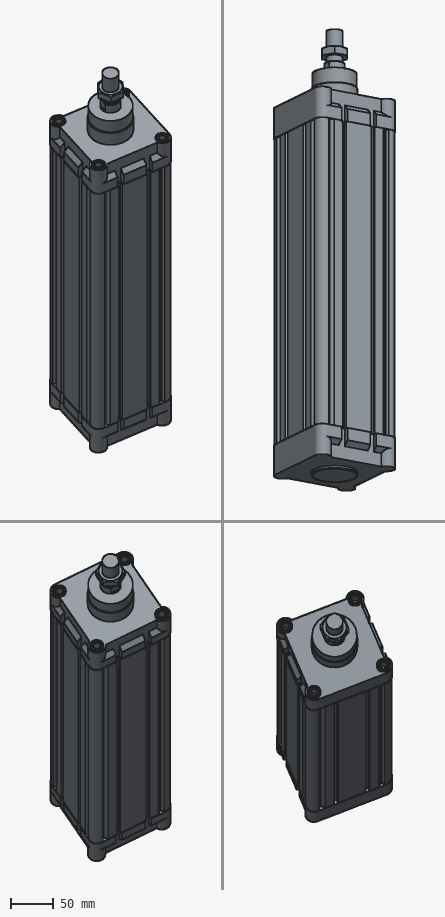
import cadquery as cq
import math

OVERALL_LENGTH = 553.0
SPIGOT_HEIGHT = 4.0
CAP_HEIGHT = 38.0
COLLAR_STEP_HEIGHT = 20.0
COLLAR_HEIGHT = 38.0
FRONT_CAP_TOP = 462.0
FRONT_CAP_BASE = FRONT_CAP_TOP - CAP_HEIGHT
BARREL_BASE = SPIGOT_HEIGHT + CAP_HEIGHT
COLLAR_TOP = FRONT_CAP_TOP + COLLAR_HEIGHT

CAP_WIDTH = 110.0
CAP_HALF = CAP_WIDTH / 2
COLUMN_RADIUS = 10.5
COLUMN_OFFSET = CAP_HALF - COLUMN_RADIUS
RECESS_DEPTH = 6.0
RECESS_HALF = CAP_HALF - RECESS_DEPTH

PAD_FACE_HEIGHT = 15.5
CAP_SLOT_INNER = 16.0
CAP_SLOT_OUTER = 24.5

SCREW_RECESS_DIAMETER = 16.0
SCREW_HEAD_DIAMETER = 15.0
SCREW_RECESS_DEPTH = 1.5
SCREW_SINK_DIAMETER = 12.0
SCREW_SINK_DEPTH = 0.5
SCREW_THREAD_DIAMETER = 8.5
SCREW_THREAD_DEPTH = 16.5

BARREL_CORNER_RADIUS = 10.0
BARREL_HALF = COLUMN_OFFSET + BARREL_CORNER_RADIUS
BARREL_SLOT_INNER = 17.5
BARREL_SLOT_OUTER = 22.5
BARREL_SLOT_DEPTH = 4.5
GROOVE_INNER = 34.5
GROOVE_OUTER = 42.0
GROOVE_DEPTH = 4.0
GROOVE_OUTER_WALL_TILT = math.radians(30)

COLLAR_DIAMETER = 55.0
COLLAR_TIP_DIAMETER = 53.0
SPIGOT_CHAMFER = 1.0

ROD_DIAMETER = 25.0
ROD_SHOULDER_Z = 513.0
ROD_SHOULDER_CHAMFER = 1.0
THREAD_DIAMETER = 20.0
WRENCH_FLAT_WIDTH = 22.0
WRENCH_FLAT_BASE = COLLAR_TOP + 1.5
NUT_BASE = 521.0
NUT_HEIGHT = 10.0
NUT_ACROSS_FLATS = 30.0
NUT_FACE_DIAMETER = 28.0
NUT_CHAMFER_ANGLE = math.radians(30)


def cylinder(diameter, base, top):
    return cq.Workplane("XY", origin=(0, 0, base)).circle(diameter / 2).extrude(top - base)


def box(x_min, x_max, y_min, y_max, base, top):
    """Axis-aligned block between the given limits."""
    sketch = cq.Workplane("XY", origin=((x_min + x_max) / 2, (y_min + y_max) / 2, base))
    return sketch.rect(x_max - x_min, y_max - y_min).extrude(top - base)


def corner_points(offset):
    return [(x, y) for x in (-offset, offset) for y in (-offset, offset)]


def cap_pad(start, end):
    """Pad on the -Y side from x = start to end, its upper edge sloping back into the recess."""
    profile = [
        (-RECESS_HALF + RECESS_DEPTH, 0),
        (-CAP_HALF, 0),
        (-CAP_HALF, PAD_FACE_HEIGHT),
        (-RECESS_HALF, PAD_FACE_HEIGHT + RECESS_DEPTH),
        (-RECESS_HALF + RECESS_DEPTH, PAD_FACE_HEIGHT + RECESS_DEPTH),
    ]
    return cq.Workplane("YZ", origin=(start, 0, 0)).polyline(profile).close().extrude(end - start)


def build_cap():
    """Cap with its barrel side at z = 0: pads on -X, -Y and +X, a plain full-width +Y side."""
    cap = box(-RECESS_HALF, RECESS_HALF, -RECESS_HALF, RECESS_HALF, 0, CAP_HEIGHT)
    columns = cq.Workplane("XY").pushPoints(corner_points(COLUMN_OFFSET))
    cap = cap.union(columns.circle(COLUMN_RADIUS).extrude(CAP_HEIGHT))
    cap = cap.union(box(-COLUMN_OFFSET, COLUMN_OFFSET, 0, CAP_HALF, 0, CAP_HEIGHT))
    pad_spans = [
        (-COLUMN_OFFSET, -CAP_SLOT_OUTER),
        (-CAP_SLOT_INNER, CAP_SLOT_INNER),
        (CAP_SLOT_OUTER, COLUMN_OFFSET),
    ]
    for side_angle in (-90, 0, 90):
        for start, end in pad_spans:
            cap = cap.union(cap_pad(start, end).rotate((0, 0, 0), (0, 0, 1), side_angle))
    return cap


def screw_cavity():
    """Space around and inside one hollow screw head, with the cap face at z = 0."""
    head_radius = SCREW_HEAD_DIAMETER / 2
    ring_profile = [
        (SCREW_RECESS_DIAMETER / 2, 0),
        (SCREW_RECESS_DIAMETER / 2, -SCREW_RECESS_DEPTH),
        (head_radius, -SCREW_RECESS_DEPTH),
        (head_radius, 0),
    ]
    sink_radius = SCREW_SINK_DIAMETER / 2
    thread_radius = SCREW_THREAD_DIAMETER / 2
    hole_profile = [
        (0, 0),
        (sink_radius, 0),
        (sink_radius, -SCREW_SINK_DEPTH),
        (thread_radius, -SCREW_SINK_DEPTH),
        (thread_radius, -SCREW_THREAD_DEPTH),
        (0, -SCREW_THREAD_DEPTH),
    ]
    ring = cq.Workplane("XZ").polyline(ring_profile).close().revolve(360, (0, 0), (0, 1))
    hole = cq.Workplane("XZ").polyline(hole_profile).close().revolve(360, (0, 0), (0, 1))
    return ring.add(hole).combine()


def build_barrel():
    """Extruded profile with two slots and two corner grooves on each side."""
    length = FRONT_CAP_BASE - BARREL_BASE
    barrel = box(-BARREL_HALF, BARREL_HALF, -BARREL_HALF, BARREL_HALF, BARREL_BASE, FRONT_CAP_BASE)
    barrel = barrel.edges("|Z").fillet(BARREL_CORNER_RADIUS)
    groove_floor = BARREL_HALF - GROOVE_DEPTH
    groove_profile = [
        (GROOVE_INNER, -BARREL_HALF),
        (GROOVE_INNER + GROOVE_DEPTH, -groove_floor),
        (GROOVE_OUTER - GROOVE_DEPTH * math.tan(GROOVE_OUTER_WALL_TILT), -groove_floor),
        (GROOVE_OUTER, -BARREL_HALF),
    ]
    slot_floor = BARREL_HALF - BARREL_SLOT_DEPTH
    slot = box(BARREL_SLOT_INNER, BARREL_SLOT_OUTER, -BARREL_HALF, -slot_floor, BARREL_BASE, FRONT_CAP_BASE)
    groove = cq.Workplane("XY", origin=(0, 0, BARREL_BASE)).polyline(groove_profile).close().extrude(length)
    for cutter in (slot, groove):
        for half in (cutter, cutter.mirror("YZ")):
            for side_angle in (0, 90, 180, 270):
                barrel = barrel.cut(half.rotate((0, 0, 0), (0, 0, 1), side_angle))
    return barrel


def build_housing():
    """Barrel, both caps, stepped collar and rear spigot, bored for the rod."""
    front_cap = build_cap().translate((0, 0, FRONT_CAP_BASE))
    rear_cap = build_cap().mirror("XY").translate((0, 0, BARREL_BASE))
    housing = build_barrel().union(front_cap).union(rear_cap)
    collar_step = FRONT_CAP_TOP + COLLAR_STEP_HEIGHT
    step_chamfer = (COLLAR_DIAMETER - COLLAR_TIP_DIAMETER) / 2
    collar_foot = cylinder(COLLAR_DIAMETER, FRONT_CAP_TOP, collar_step).faces(">Z").chamfer(step_chamfer)
    collar_tip = cylinder(COLLAR_TIP_DIAMETER, FRONT_CAP_TOP, COLLAR_TOP)
    spigot = cylinder(COLLAR_DIAMETER, 0, BARREL_BASE).faces("<Z").chamfer(SPIGOT_CHAMFER)
    housing = housing.union(collar_foot).union(collar_tip).union(spigot)
    for x, y in corner_points(COLUMN_OFFSET):
        housing = housing.cut(screw_cavity().translate((x, y, FRONT_CAP_TOP)))
    return housing.cut(cylinder(ROD_DIAMETER, FRONT_CAP_BASE, COLLAR_TOP))


def build_rod():
    """Piston rod with two wrench flats facing -Y and +Y, and a thinner threaded end."""
    shank = cylinder(ROD_DIAMETER, FRONT_CAP_BASE, ROD_SHOULDER_Z)
    shank = shank.faces(">Z").chamfer(ROD_SHOULDER_CHAMFER)
    for side in (-1, 1):
        inner, outer = sorted((side * WRENCH_FLAT_WIDTH / 2, side * ROD_DIAMETER))
        shank = shank.cut(box(-ROD_DIAMETER, ROD_DIAMETER, inner, outer, WRENCH_FLAT_BASE, ROD_SHOULDER_Z))
    return shank.union(cylinder(THREAD_DIAMETER, FRONT_CAP_TOP, OVERALL_LENGTH))


def build_nut():
    """Hexagon nut with flats facing -X and +X and its upper corners chamfered."""
    across_corners = NUT_ACROSS_FLATS / math.cos(math.radians(30))
    nut = cq.Workplane("XY").polygon(6, across_corners).extrude(NUT_HEIGHT)
    nut = nut.rotate((0, 0, 0), (0, 0, 1), 30)
    face_radius = NUT_FACE_DIAMETER / 2
    rim_radius = across_corners / 2
    rim_drop = (rim_radius - face_radius) * math.tan(NUT_CHAMFER_ANGLE)
    cone_profile = [
        (0, 0),
        (rim_radius, 0),
        (rim_radius, NUT_HEIGHT - rim_drop),
        (face_radius, NUT_HEIGHT),
        (0, NUT_HEIGHT),
    ]
    cone = cq.Workplane("XZ").polyline(cone_profile).close().revolve(360, (0, 0), (0, 1))
    nut = nut.intersect(cone)
    nut = nut.cut(cylinder(THREAD_DIAMETER, 0, NUT_HEIGHT))
    return nut.translate((0, 0, NUT_BASE))


housing = build_housing()
rod = build_rod()
nut = build_nut()
result = cq.Compound.makeCompound([housing.solids().val(), rod.solids().val(), nut.solids().val()])